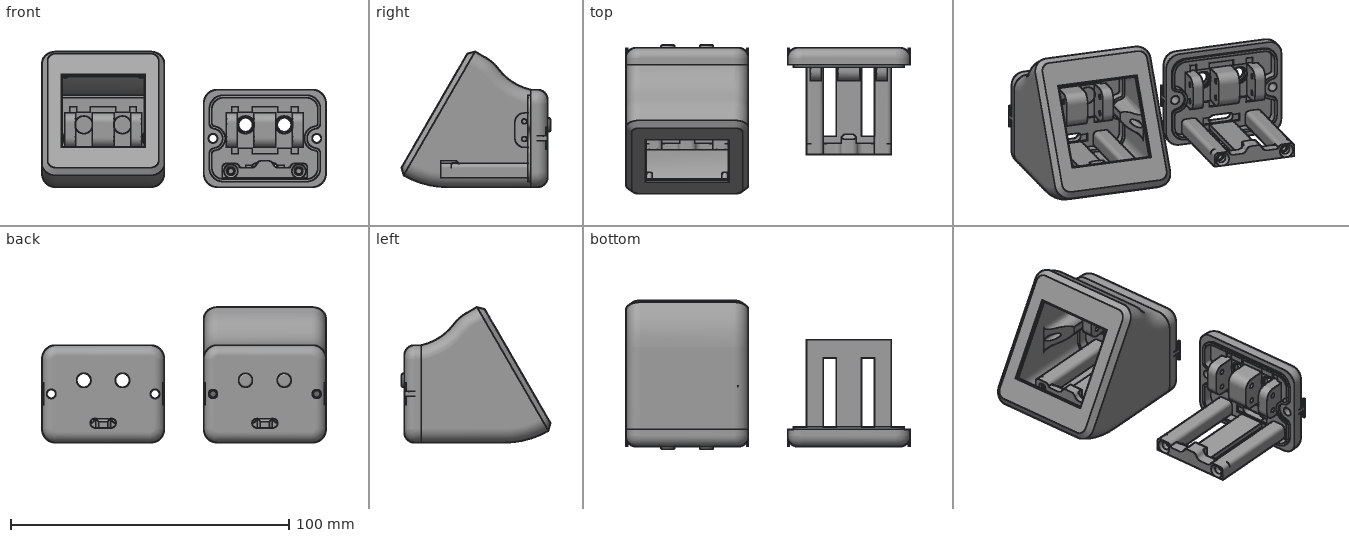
import cadquery as cq
import math


TOLERANCE = 0.01

WIDTH = 44.0
COVER_HEIGHT = 35.1
COVER_DEPTH = 6.2
EDGE_RADIUS = 5.0
WALL = 2.0
SPARE_PITCH = 58.1

TILT = math.radians(30)
TOP_DEPTH = 26.2
TOP_HEIGHT = 48.8
BROW_STRAIGHT = 4.5
BROW_RADIUS = 15.0
BROW_TURN = math.radians(23)
NECK_RADIUS = 20.0
CHIN_RADIUS = 32.0
FACE_CHAMFER = 2.0

FACE_WALL = 1.2
WINDOW_SIZE = 30.2
WINDOW_CHAMFER = 0.4
POST_DIAMETER = 2.1
POST_LENGTH = 3.5
POST_PITCH_X = 27.2
POST_PITCH_FACE = 34.5

SCREW_INSET = 3.4
SCREW_X = WIDTH / 2 - SCREW_INSET
SCREW_Z = COVER_HEIGHT / 2
SCREW_CLEARANCE = 3.2
SCREW_PILOT = 2.5
BOSS_RADIUS = 3.5
BOSS_BLEND = 2.0
BOSS_FLAT = 3.2
BOSS_END_DEPTH = 14.7
BOSS_TAPER = 11.6

BACK_RADIUS = 3.8
LIP_HEIGHT = 0.9
LIP_THICKNESS = 0.9
FLOOR_DEPTH = 3.7
LIP_FRONT = COVER_DEPTH + LIP_HEIGHT
RECESS_DEPTH = 0.8
CLAMP_Z = 20.5
RECESS_HEIGHT = 12.9
TAB_HEIGHT = 17.0
SIDE_TAB_INNER = 9.5
SIDE_TAB_OUTER = 12.0
MIDDLE_TAB_WIDTH = 9.2

CLAMP_HEIGHT = 12.4
CLAMP_FRONT = 11.9
CLAMP_RADIUS = 3.4
MIDDLE_CLAMP_WIDTH = 8.0
SIDE_CLAMP_WIDTH = 4.0
SIDE_CLAMP_X = 11.9
LEAD_HOLE = 1.7
LEAD_HOLE_PITCH = 6.3

LED_X = 6.9
LED_Z = 22.5
LED_DIAMETER = 5.0
LED_FLANGE = 6.3
LED_FLANGE_THICKNESS = 1.0
LED_PROTRUSION = 0.97
LED_DOME_RADIUS = 0.7

PORT_WIDTH = 9.2
PORT_HEIGHT = 3.3
BOARD_SLOT_WIDTH = 13.9
BOARD_SLOT_TOP = 8.0

T_THICKNESS = 0.6
T_HEAD_HEIGHT = 7.9
T_HEAD_BACK = 0.2
T_STEM_HEIGHT = 1.8

TRAY_FRONT = 38.5
FITTED_TRAY_FRONT = 36.7
TRAY_BOTTOM = 3.4
TRAY_WIDTH = 30.5
RAIL_WIDTH = 6.1
RAIL_TOP = 8.6
RAIL_RADIUS = 1.5
COLLAR_DEPTH = 34.6
COLLAR_FLAT = 10.7
COLLAR_FOOT = 8.2
COLLAR_RADIUS = 1.4
BAR_TOP = 7.0
BAR_BACK = 34.3
PLATE_TOP = 5.3
PLATE_WIDTH = 9.2
SLOT_END = 31.9
RAIL_HOLE_Z = 5.8
RAIL_HOLE = 2.1
RAIL_BORE = 3.0
RAIL_BORE_DEPTH = 3.1
RAIL_SINK = 5.0

HUMP_TOP = 9.5
HUMP_FLAT = 1.2
HUMP_REAR_HALF = 2.7
HUMP_FOOT = 4.9
HUMP_BACK = 31.2
HUMP_BEVEL = 1.8
HUMP_CORNER = 1.0

FACE_NORMAL = (math.cos(TILT), math.sin(TILT))
FACE_DOWN = (math.sin(TILT), -math.cos(TILT))
CHIN_RISE = CHIN_RADIUS * (1 - math.cos(TILT))
FACE_LENGTH = (TOP_HEIGHT - CHIN_RISE) / math.cos(TILT)
CHIN_DEPTH = TOP_DEPTH + FACE_LENGTH * math.sin(TILT) - CHIN_RADIUS * math.sin(TILT)


def at_depth(depth):
    """Sketch plane facing forward (-Y) at a depth in front of the cover back."""
    return cq.Workplane("XZ", origin=(0, -depth, 0))


def block(x_min, x_max, back, front, z_min, z_max):
    """Box between two X limits, two depths and two heights."""
    size = (x_max - x_min, front - back, z_max - z_min)
    return cq.Workplane().box(*size, centered=False).translate((x_min, -front, z_min))


def face_point(down, out):
    """(depth, height) of a point down along the face and out from it, from the upper front corner."""
    return tuple(
        corner + down * along + out * normal
        for corner, along, normal in zip((TOP_DEPTH, TOP_HEIGHT), FACE_DOWN, FACE_NORMAL)
    )


def on_circle(centre, radius, angle):
    return (centre[0] + radius * math.cos(angle), centre[1] + radius * math.sin(angle))


def profile_body(inset, front, edge_radius):
    """Housing shape with walls moved in by inset and its face moved out by front."""
    brow_radius = BROW_RADIUS - inset
    neck_radius = NECK_RADIUS + inset
    chin_radius = CHIN_RADIUS - inset
    brow_centre = face_point(BROW_RADIUS, -BROW_STRAIGHT)
    brow_start = math.pi / 2 + TILT
    brow_end = brow_start + BROW_TURN
    neck_centre = on_circle(brow_centre, BROW_RADIUS + NECK_RADIUS, brow_end)
    neck_start = brow_end - math.pi
    neck_end = -math.acos((COVER_DEPTH - neck_centre[0]) / neck_radius)
    chin_centre = (CHIN_DEPTH, CHIN_RADIUS)
    chin_end = TILT - math.pi / 2

    def yz(point):
        return (-point[0], point[1])

    outline = (
        cq.Workplane("YZ", origin=(-WIDTH / 2 + inset, 0, 0))
        .moveTo(-COVER_DEPTH, inset)
        .lineTo(-CHIN_DEPTH, inset)
        .threePointArc(
            yz(on_circle(chin_centre, chin_radius, (chin_end - math.pi / 2) / 2)),
            yz(on_circle(chin_centre, chin_radius, chin_end)),
        )
    )
    if front:
        outline = outline.lineTo(*yz(face_point(FACE_LENGTH - inset, front)))
    outline = (
        outline.lineTo(*yz(face_point(inset, front)))
        .lineTo(*yz(on_circle(brow_centre, brow_radius, brow_start)))
        .threePointArc(
            yz(on_circle(brow_centre, brow_radius, (brow_start + brow_end) / 2)),
            yz(on_circle(brow_centre, brow_radius, brow_end)),
        )
        .threePointArc(
            yz(on_circle(neck_centre, neck_radius, (neck_start + neck_end) / 2)),
            yz(on_circle(neck_centre, neck_radius, neck_end)),
        )
        .close()
    )
    body = outline.extrude(WIDTH - 2 * inset)
    end_edges = body.faces(">Y").edges().vals() + face_of(body).edges().vals()
    ends = {edge.hashCode() for edge in end_edges}
    sides = body.faces("<X or >X").edges().vals()
    long_edges = [edge for edge in sides if edge.hashCode() not in ends]
    return body.newObject(long_edges).fillet(edge_radius)


def face_of(body):
    return body.faces(cq.DirectionMinMaxSelector(cq.Vector(0, -FACE_NORMAL[0], FACE_NORMAL[1]), True))


def rim_prism(inset, back, front):
    """Rounded prism inside the cover outline, notched around the two cover screws."""
    half_width = WIDTH / 2 - inset
    grown = inset - WALL
    notch_radius = BOSS_RADIUS + grown
    prism = (
        at_depth(back)
        .center(0, SCREW_Z)
        .rect(2 * half_width, COVER_HEIGHT - 2 * inset)
        .extrude(front - back)
        .edges("|Y")
        .fillet(EDGE_RADIUS - grown)
    )
    for side in (-1, 1):
        notch = (
            at_depth(back)
            .center(side * (SCREW_X + EDGE_RADIUS), SCREW_Z)
            .slot2D(2 * (EDGE_RADIUS + notch_radius), 2 * notch_radius)
            .extrude(front - back)
        )
        prism = prism.cut(notch)
    corners = [
        edge
        for edge in prism.edges("|Y").vals()
        if math.isclose(abs(edge.Center().x), half_width, abs_tol=TOLERANCE)
        and abs(edge.Center().z - SCREW_Z) < notch_radius + TOLERANCE
    ]
    return prism.newObject(corners).fillet(BOSS_BLEND - grown)


def make_housing():
    shell = profile_body(0, 0, EDGE_RADIUS).union(make_face_slab())
    cavity = profile_body(WALL, FACE_CHAMFER - FACE_WALL, EDGE_RADIUS)
    shell = shell.cut(cavity).union(make_bosses())
    shell = shell.cut(rim_prism(WALL, COVER_DEPTH, LIP_FRONT))
    return cut_window(shell).union(make_posts())


def make_face_slab():
    """Rounded slab with bevelled sides that forms the display face."""
    return (
        face_plane(0)
        .sketch()
        .rect(WIDTH, FACE_LENGTH)
        .vertices()
        .fillet(EDGE_RADIUS)
        .finalize()
        .extrude(FACE_CHAMFER, taper=45)
    )


def make_bosses():
    """Screw bosses on the side walls; each tapers forward into its wall."""
    inner_x = SCREW_X - BOSS_FLAT
    wall_x = WIDTH / 2 - WALL
    outer_x = wall_x + WALL / 2
    boss_end = BOSS_END_DEPTH + BOSS_TAPER
    over = BOSS_TAPER * (outer_x - wall_x) / (wall_x - inner_x)
    wedge = (
        cq.Workplane("XY", origin=(0, 0, SCREW_Z - BOSS_RADIUS - BOSS_BLEND))
        .polyline([
            (inner_x, -COVER_DEPTH),
            (inner_x, -BOSS_END_DEPTH),
            (outer_x, -boss_end - over),
            (outer_x, -COVER_DEPTH),
        ])
        .close()
        .extrude(2 * (BOSS_RADIUS + BOSS_BLEND))
    )
    boss = wedge.cut(rim_prism(WALL, COVER_DEPTH, boss_end + over))
    pilot = at_depth(COVER_DEPTH).center(SCREW_X, SCREW_Z).circle(SCREW_PILOT / 2).extrude(boss_end)
    boss = boss.cut(pilot)
    return boss.union(boss.mirror("YZ"))


def face_plane(out):
    """Sketch plane on the display face, centred, at a distance out from the chamfer foot."""
    depth, height = face_point(FACE_LENGTH / 2, out)
    normal = (0, -FACE_NORMAL[0], FACE_NORMAL[1])
    return cq.Workplane(cq.Plane(origin=(0, -depth, height), xDir=(1, 0, 0), normal=normal))


def cut_window(shell):
    opening = WINDOW_SIZE - 2 * WINDOW_CHAMFER
    hole = face_plane(FACE_CHAMFER).rect(opening, opening).extrude(-2 * FACE_WALL)
    bevel = face_plane(FACE_CHAMFER).rect(WINDOW_SIZE, WINDOW_SIZE).extrude(-WINDOW_CHAMFER, taper=45)
    return shell.cut(hole).cut(bevel)


def make_posts():
    """Display posts standing on the inside of the face, around the window."""
    return (
        face_plane(FACE_CHAMFER - FACE_WALL)
        .rect(POST_PITCH_X, POST_PITCH_FACE, forConstruction=True)
        .vertices()
        .circle(POST_DIAMETER / 2)
        .extrude(-POST_LENGTH)
    )


def make_cover():
    cover = (
        at_depth(0)
        .center(0, SCREW_Z)
        .rect(WIDTH, COVER_HEIGHT)
        .extrude(COVER_DEPTH)
        .edges("|Y")
        .fillet(EDGE_RADIUS)
        .faces(">Y")
        .edges()
        .fillet(BACK_RADIUS)
    )
    cover = cover.union(rim_prism(WALL, FLOOR_DEPTH, LIP_FRONT))
    cover = cover.cut(rim_prism(WALL + LIP_THICKNESS, FLOOR_DEPTH, LIP_FRONT))
    cover = cover.cut(make_recess()).cut(make_led_seats()).cut(make_port())
    for side in (-1, 1):
        hole = at_depth(0).center(side * SCREW_X, SCREW_Z).circle(SCREW_CLEARANCE / 2).extrude(LIP_FRONT)
        cover = cover.cut(hole).union(make_t_tab(side))
    return cover.union(make_clamps())


def make_recess():
    """Shallow floor recess with three tabs above and below."""
    back = FLOOR_DEPTH - RECESS_DEPTH
    strip = (CLAMP_Z - RECESS_HEIGHT / 2, CLAMP_Z + RECESS_HEIGHT / 2)
    tabs = (CLAMP_Z - TAB_HEIGHT / 2, CLAMP_Z + TAB_HEIGHT / 2)
    recess = block(-SIDE_TAB_OUTER, SIDE_TAB_OUTER, back, FLOOR_DEPTH, *strip)
    recess = recess.union(block(-MIDDLE_TAB_WIDTH / 2, MIDDLE_TAB_WIDTH / 2, back, FLOOR_DEPTH, *tabs))
    for x_min, x_max in ((-SIDE_TAB_OUTER, -SIDE_TAB_INNER), (SIDE_TAB_INNER, SIDE_TAB_OUTER)):
        recess = recess.union(block(x_min, x_max, back, FLOOR_DEPTH, *tabs))
    return recess


def led_shape(x, dome):
    """LED barrel and flange at X; the dome sticks out behind the cover."""
    flange_front = FLOOR_DEPTH - RECESS_DEPTH
    flange_back = flange_front - LED_FLANGE_THICKNESS
    barrel = at_depth(-dome).center(x, LED_Z).circle(LED_DIAMETER / 2).extrude(flange_back + dome)
    if dome:
        barrel = barrel.faces(">Y").edges().fillet(LED_DOME_RADIUS)
    flange = at_depth(flange_back).center(x, LED_Z).circle(LED_FLANGE / 2).extrude(LED_FLANGE_THICKNESS)
    return barrel.union(flange)


def make_led_seats():
    return led_shape(-LED_X, 0).union(led_shape(LED_X, 0))


def make_port():
    """Obround connector opening through the cover, and the board slot in its floor."""
    slot = block(
        -BOARD_SLOT_WIDTH / 2, BOARD_SLOT_WIDTH / 2,
        FLOOR_DEPTH - RECESS_DEPTH, FLOOR_DEPTH,
        PLATE_TOP, BOARD_SLOT_TOP,
    )
    opening = at_depth(0).center(0, BAR_TOP).slot2D(PORT_WIDTH, PORT_HEIGHT).extrude(FLOOR_DEPTH)
    return slot.union(opening)


def make_t_tab(side):
    outer = side * WIDTH / 2
    x_min, x_max = sorted((outer, outer - side * T_THICKNESS))
    head_front = T_HEAD_BACK + T_THICKNESS
    head_span = (SCREW_Z - T_HEAD_HEIGHT / 2, SCREW_Z + T_HEAD_HEIGHT / 2)
    stem_span = (SCREW_Z - T_STEM_HEIGHT / 2, SCREW_Z + T_STEM_HEIGHT / 2)
    head = block(x_min, x_max, T_HEAD_BACK, head_front, *head_span)
    stem = block(x_min, x_max, head_front, BACK_RADIUS, *stem_span)
    return head.union(stem)


def make_clamps():
    """Three blocks standing in the recess, with round front edges and cross holes for the LED leads."""
    back = FLOOR_DEPTH - RECESS_DEPTH
    z_min = CLAMP_Z - CLAMP_HEIGHT / 2
    clamps = cq.Workplane()
    for x, width in (
        (-SIDE_CLAMP_X, SIDE_CLAMP_WIDTH), (0, MIDDLE_CLAMP_WIDTH), (SIDE_CLAMP_X, SIDE_CLAMP_WIDTH)
    ):
        clamp = block(x - width / 2, x + width / 2, back, CLAMP_FRONT, z_min, z_min + CLAMP_HEIGHT)
        clamps = clamps.add(clamp.edges("|X and <Y").fillet(CLAMP_RADIUS))
    clamps = clamps.combine()
    for offset in (-LEAD_HOLE_PITCH / 2, LEAD_HOLE_PITCH / 2):
        hole = (
            cq.Workplane("YZ", origin=(-WIDTH / 2, CLAMP_RADIUS - CLAMP_FRONT, CLAMP_Z + offset))
            .circle(LEAD_HOLE / 2)
            .extrude(WIDTH)
        )
        clamps = clamps.cut(hole)
    return clamps


def s_radius(run, rise):
    """Radius of the two equal arcs of an S-curve that is level at both ends."""
    return (run**2 + rise**2) / (4 * rise)


def make_tray():
    """Board tray: middle plate, front bar with a hump, and two screw rails."""
    half_bar = TRAY_WIDTH / 2 - RAIL_WIDTH / 2
    plate = block(-PLATE_WIDTH / 2, PLATE_WIDTH / 2, FLOOR_DEPTH, TRAY_FRONT, TRAY_BOTTOM, PLATE_TOP)
    cross = block(-half_bar, half_bar, SLOT_END, TRAY_FRONT, TRAY_BOTTOM, PLATE_TOP)
    bar = block(-half_bar, half_bar, BAR_BACK, TRAY_FRONT, TRAY_BOTTOM, BAR_TOP)
    tray = plate.union(cross).union(bar).union(make_hump())
    rail = make_rail()
    tray = tray.union(rail).union(rail.mirror("YZ"))
    holes = make_rail_hole()
    return tray.cut(holes).cut(holes.mirror("YZ"))


def make_fitted_tray():
    """Tray with its front end cut off, so only the straight screw bores remain open."""
    end = block(-TRAY_WIDTH, TRAY_WIDTH, FITTED_TRAY_FRONT, TRAY_FRONT, 0, TOP_HEIGHT)
    return make_tray().cut(end)


def make_rail():
    """Right-hand rail, round along the top, with a fuller collar at its front end."""
    inner = TRAY_WIDTH / 2 - RAIL_WIDTH
    outer = TRAY_WIDTH / 2
    rail = block(inner, outer, FLOOR_DEPTH, TRAY_FRONT, TRAY_BOTTOM, RAIL_TOP)
    rail = rail.edges("|Y and >Z").fillet(RAIL_RADIUS)
    side_radius = s_radius(COLLAR_FLAT - COLLAR_FOOT, RAIL_TOP - BAR_TOP)
    collar = (
        at_depth(COLLAR_DEPTH)
        .moveTo(COLLAR_FOOT, TRAY_BOTTOM)
        .lineTo(outer, TRAY_BOTTOM)
        .lineTo(outer, RAIL_TOP - COLLAR_RADIUS)
        .radiusArc((outer - COLLAR_RADIUS, RAIL_TOP), -COLLAR_RADIUS)
        .lineTo(COLLAR_FLAT, RAIL_TOP)
        .radiusArc(((COLLAR_FLAT + COLLAR_FOOT) / 2, (RAIL_TOP + BAR_TOP) / 2), -side_radius)
        .radiusArc((COLLAR_FOOT, BAR_TOP), side_radius)
        .close()
        .extrude(TRAY_FRONT - COLLAR_DEPTH)
    )
    return rail.union(collar)


def make_rail_hole():
    """Countersunk, stepped screw hole along the right-hand rail."""
    x = TRAY_WIDTH / 2 - RAIL_WIDTH / 2
    sink_depth = (RAIL_SINK - RAIL_BORE) / 2
    through = at_depth(FLOOR_DEPTH).center(x, RAIL_HOLE_Z).circle(RAIL_HOLE / 2).extrude(TRAY_FRONT)
    bore = at_depth(TRAY_FRONT - RAIL_BORE_DEPTH).center(x, RAIL_HOLE_Z).circle(RAIL_BORE / 2)
    sink = at_depth(TRAY_FRONT).center(x, RAIL_HOLE_Z).circle(RAIL_SINK / 2)
    return through.union(bore.extrude(RAIL_BORE_DEPTH)).union(sink.extrude(-sink_depth, taper=45))


def make_hump():
    """Hump with S-shaped sides on the bar, and a narrower bevelled rear rising from the tray floor."""
    mid = ((HUMP_FLAT + HUMP_FOOT) / 2, (HUMP_TOP + BAR_TOP) / 2)
    radius = s_radius(HUMP_FOOT - HUMP_FLAT, HUMP_TOP - BAR_TOP)
    ridge = (
        at_depth(HUMP_BACK)
        .moveTo(-HUMP_FOOT, BAR_TOP)
        .radiusArc((-mid[0], mid[1]), -radius)
        .radiusArc((-HUMP_FLAT, HUMP_TOP), radius)
        .lineTo(HUMP_FLAT, HUMP_TOP)
        .radiusArc(mid, radius)
        .radiusArc((HUMP_FOOT, BAR_TOP), -radius)
        .lineTo(HUMP_FOOT, TRAY_BOTTOM)
        .lineTo(-HUMP_FOOT, TRAY_BOTTOM)
        .close()
        .extrude(TRAY_FRONT - HUMP_BACK)
    )
    front = block(-HUMP_FOOT, HUMP_FOOT, BAR_BACK, TRAY_FRONT, TRAY_BOTTOM, HUMP_TOP)
    rear = block(-HUMP_REAR_HALF, HUMP_REAR_HALF, HUMP_BACK, BAR_BACK, TRAY_BOTTOM, HUMP_TOP)
    rear = rear.edges("|Z and >Y").chamfer(HUMP_CORNER)
    bevel = (
        cq.Workplane("YZ", origin=(-HUMP_REAR_HALF, 0, 0))
        .polyline([
            (-HUMP_BACK, HUMP_TOP - HUMP_BEVEL),
            (-HUMP_BACK, HUMP_TOP),
            (-HUMP_BACK - HUMP_BEVEL, HUMP_TOP),
        ])
        .close()
        .extrude(2 * HUMP_REAR_HALF)
    )
    return ridge.intersect(front.union(rear)).cut(bevel)


housing = make_housing()
cover = make_cover()
spare_tray = make_tray().translate((SPARE_PITCH, 0, 0))
tray = make_fitted_tray()
leds = [led_shape(side * LED_X, LED_PROTRUSION) for side in (-1, 1)]
spare_cover = cover.translate((SPARE_PITCH, 0, 0))

result = cq.Compound.makeCompound([
    housing.val(),
    cover.val(),
    tray.val(),
    *[led.val() for led in leds],
    spare_cover.val(),
    spare_tray.val(),
])